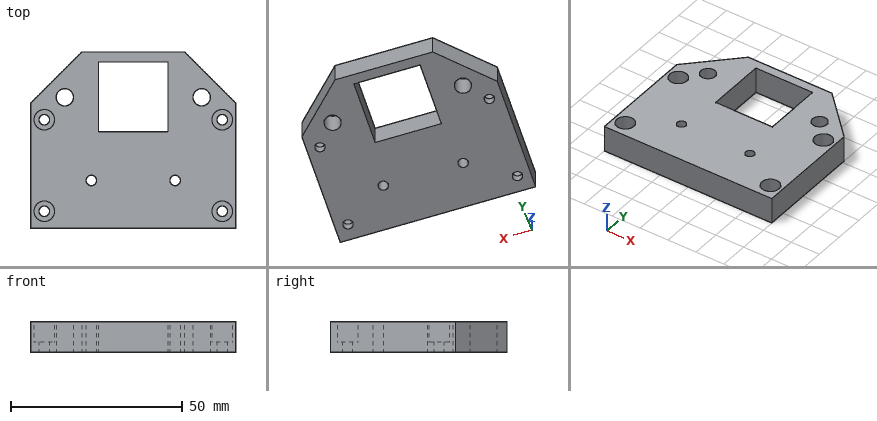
import cadquery as cq

width = 60.0
length = 51.6
thickness = 9.0
corner_cut = 15.0

window_side = 20.3
window_rear_wall = 3.0

screw_diameter = 3.0
screw_head_diameter = 6.0
screw_head_depth = 6.0
screw_side_margin = 4.0
screw_front_y = 5.0
screw_rear_y = 31.75

rear_hole_diameter = 5.0
rear_hole_x = 20.0
rear_hole_y = 38.3
middle_hole_diameter = 3.0
middle_hole_x = 12.25
middle_hole_y = 14.0


def mirrored_pair(x, y):
    """Two points placed symmetrically about the centre plane X = 0."""
    return [(-x, y), (x, y)]


def make_plate():
    """Rectangular plate with both rear corners cut off at 45 degrees."""
    half_width = width / 2
    outline = [
        (-half_width, 0),
        (half_width, 0),
        (half_width, length - corner_cut),
        (half_width - corner_cut, length),
        (-half_width + corner_cut, length),
        (-half_width, length - corner_cut),
    ]
    return cq.Workplane("XY").polyline(outline).close().extrude(thickness)


def cut_window(body):
    window_centre_y = length - window_rear_wall - window_side / 2
    window = (
        cq.Workplane("XY")
        .center(0, window_centre_y)
        .rect(window_side, window_side)
        .extrude(thickness)
    )
    return body.cut(window)


def cut_holes(body, points, diameter, floor_z=0.0):
    """Round holes from the top face down to floor_z."""
    holes = (
        cq.Workplane("XY", origin=(0, 0, floor_z))
        .pushPoints(points)
        .circle(diameter / 2)
        .extrude(thickness - floor_z)
    )
    return body.cut(holes)


screw_x = width / 2 - screw_side_margin
screw_points = mirrored_pair(screw_x, screw_front_y) + mirrored_pair(screw_x, screw_rear_y)

result = cut_window(make_plate())
result = cut_holes(result, screw_points, screw_diameter)
result = cut_holes(result, screw_points, screw_head_diameter, thickness - screw_head_depth)
result = cut_holes(result, mirrored_pair(rear_hole_x, rear_hole_y), rear_hole_diameter)
result = cut_holes(result, mirrored_pair(middle_hole_x, middle_hole_y), middle_hole_diameter)